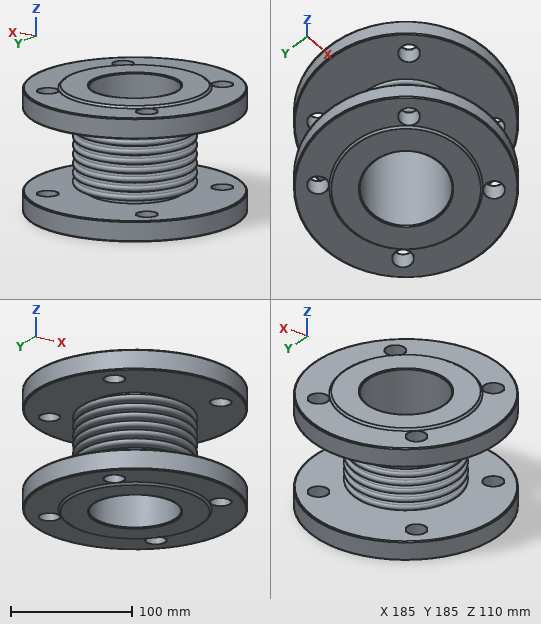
import cadquery as cq

overall_length = 110.0
flange_diameter = 185.0

flange_thickness = 18.0
flange_edge_chamfer = 1.0
raised_face_height = 2.0
raised_face_top_diameter = 123.0
raised_face_base_diameter = 126.5

bolt_hole_count = 4
bolt_hole_diameter = 18.0
bolt_circle_diameter = 145.0
first_bolt_angle = 45.0

tube_diameter = 80.0
bore_diameter = 76.0
bore_chamfer = 1.0

root_diameter = 81.76
crest_diameter = 102.5
convolution_count = 8
convolution_pitch = 7.82
convolution_width = 5.0

flange_outer_z = overall_length / 2 - raised_face_height
flange_inner_z = flange_outer_z - flange_thickness
bellows_half_span = convolution_pitch * (convolution_count - 1) / 2


def centred_cylinder(diameter, length):
    """Solid cylinder along Z, centred at the origin."""
    return cq.Workplane("XY").circle(diameter / 2).extrude(length / 2, both=True)


def make_upper_flange():
    """Flange disc with chamfered rims and a conical raised face on its outer side."""
    disc = (
        cq.Workplane("XY")
        .workplane(offset=flange_inner_z)
        .circle(flange_diameter / 2)
        .extrude(flange_thickness)
        .edges()
        .chamfer(flange_edge_chamfer)
    )
    raised_face = (
        cq.Workplane("XY")
        .workplane(offset=flange_outer_z)
        .circle(raised_face_base_diameter / 2)
        .workplane(offset=raised_face_height)
        .circle(raised_face_top_diameter / 2)
        .loft()
    )
    bolt_holes = (
        cq.Workplane("XY")
        .workplane(offset=flange_inner_z)
        .polarArray(bolt_circle_diameter / 2, first_bolt_angle, 360, bolt_hole_count)
        .circle(bolt_hole_diameter / 2)
        .extrude(overall_length / 2 - flange_inner_z)
    )
    return disc.union(raised_face).cut(bolt_holes)


def make_convolution(center_z):
    """Flat-sided ring with a fully rounded crest."""
    half_width = convolution_width / 2
    crest_radius = crest_diameter / 2
    inner_radius = (bore_diameter + tube_diameter) / 4
    rounding_start = crest_radius - half_width
    return (
        cq.Workplane("XZ")
        .moveTo(inner_radius, center_z - half_width)
        .lineTo(rounding_start, center_z - half_width)
        .threePointArc((crest_radius, center_z), (rounding_start, center_z + half_width))
        .lineTo(inner_radius, center_z + half_width)
        .close()
        .revolve(360, (0, 0, 0), (0, 1, 0))
    )


def make_bellows():
    """Root sleeve between the outermost convolutions, with evenly spaced rings."""
    bellows = centred_cylinder(root_diameter, 2 * bellows_half_span)
    for index in range(convolution_count):
        center_z = index * convolution_pitch - bellows_half_span
        bellows = bellows.union(make_convolution(center_z))
    return bellows


def make_bore():
    """Through bore, chamfered at both ends."""
    end_z = overall_length / 2
    bore_radius = bore_diameter / 2
    return (
        cq.Workplane("XZ")
        .moveTo(0, -end_z)
        .lineTo(bore_radius + bore_chamfer, -end_z)
        .lineTo(bore_radius, -end_z + bore_chamfer)
        .lineTo(bore_radius, end_z - bore_chamfer)
        .lineTo(bore_radius + bore_chamfer, end_z)
        .lineTo(0, end_z)
        .close()
        .revolve(360, (0, 0, 0), (0, 1, 0))
    )


upper_flange = make_upper_flange()
lower_flange = upper_flange.mirror("XY")
tube = centred_cylinder(tube_diameter, 2 * flange_outer_z)

body = tube.union(make_bellows()).union(upper_flange).union(lower_flange)
result = body.cut(make_bore())